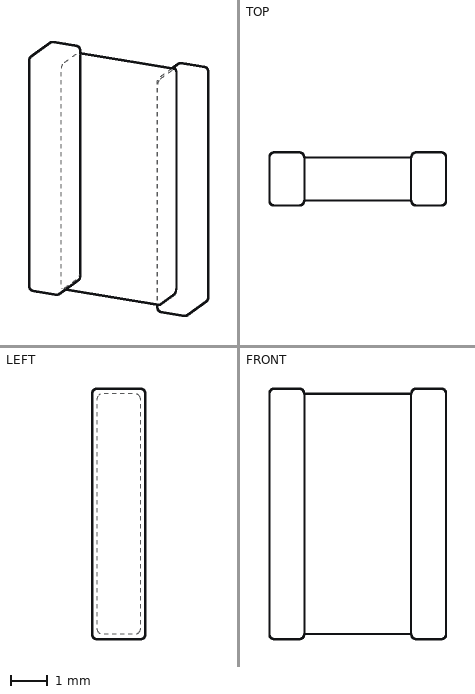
import cadquery as cq

length = 4.8
depth = 1.45
height = 6.8

cap_length = 0.95
edge_radius = 0.14

core_setback = edge_radius
core_length = length - 2 * cap_length
core_depth = depth - 2 * core_setback
core_height = height - 2 * core_setback


def make_end_cap(side):
    """Block rounded on all edges; side is -1 for the -X end and +1 for the +X end."""
    cap_center_x = side * (length - cap_length) / 2
    cap = cq.Workplane("XY").box(cap_length, depth, height)
    cap = cap.edges().fillet(edge_radius)
    return cap.translate((cap_center_x, 0, 0))


def make_core():
    """Ceramic block with rounded long edges, butting against both cap inner faces."""
    core = cq.Workplane("XY").box(core_length, core_depth, core_height)
    return core.edges("|X").fillet(edge_radius)


end_caps = [make_end_cap(side) for side in (-1, 1)]
core = make_core()

result = cq.Compound.makeCompound([core.solids().val(), *[cap.solids().val() for cap in end_caps]])